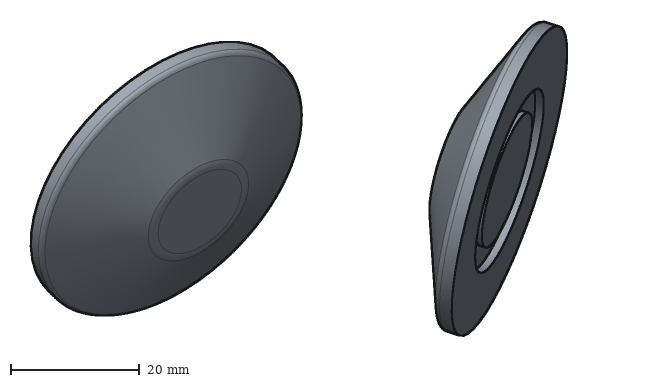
import cadquery as cq

outer_radius = 25.25
thickness = 10.0
rim_height = 2.7
front_face_radius = 8.9
rim_fillet = 1.0
front_fillet = 4.05

groove_radius = 15.0
island_radius = 11.0
groove_depth = 1.4
island_height = 1.0


def back_disc(radius, start, height):
    """Disc about the X axis, beginning at X = start."""
    return cq.Workplane("YZ", origin=(start, 0, 0)).circle(radius).extrude(height)


def rounded_body():
    profile = (
        cq.Workplane("XZ")
        .moveTo(0, 0)
        .lineTo(0, outer_radius)
        .lineTo(rim_height, outer_radius)
        .lineTo(thickness, front_face_radius)
        .lineTo(thickness, 0)
        .close()
    )
    body = profile.revolve(360, (0, 0, 0), (1, 0, 0))
    body = body.faces("%CYLINDER").edges(">X").fillet(rim_fillet)
    return body.faces(">X").edges().fillet(front_fillet)


recess = back_disc(groove_radius, 0, groove_depth)
island = back_disc(island_radius, groove_depth - island_height, island_height)
result = rounded_body().cut(recess.cut(island))